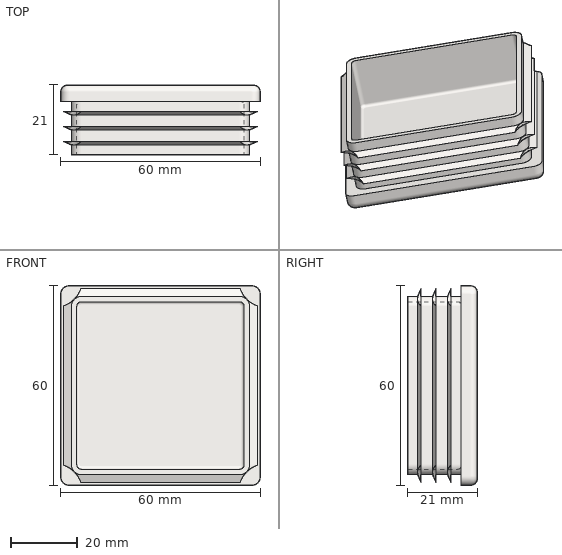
import cadquery as cq
import math

total_depth = 21
back_y = total_depth / 2
open_y = -back_y

cap_size = 60
cap_thickness = 5.0
cap_corner_radius = 2.5
cap_edge_round = 2.05
cap_inner_y = back_y - cap_thickness

body_size = 53.6
body_corner_radius = 3
wall = 1.6
cavity_size = body_size - 2 * wall
cavity_corner_radius = body_corner_radius - wall
cavity_depth = 16.0
floor_round = 0.9

rib_size = 58.2
rib_base = 1.0
rib_count = 3
rib_pitch = 4.5
first_rib_gap = 3
scallop_radius = 8.4
scallop_gap = 0.03


def square_block(size, corner_radius, start_y, depth):
    """Rounded square block from start_y, extending depth toward -Y."""
    block = cq.Workplane("XZ", origin=(0, start_y, 0)).rect(size, size).extrude(depth)
    return block.edges("|Y").fillet(corner_radius)


def make_cap():
    cap = square_block(cap_size, cap_corner_radius, back_y, cap_thickness)
    return cap.faces(">Y").edges().fillet(cap_edge_round)


def make_body():
    return square_block(body_size, body_corner_radius, cap_inner_y, cap_inner_y - open_y)


def make_rib(flat_y):
    """Tapered ring around the body, scalloped at its four corners."""
    rib_height = (rib_size - body_size) / 2
    tip = cq.Sketch().rect(rib_size, rib_size)
    tip = tip.vertices().fillet(body_corner_radius + rib_height)
    base = cq.Sketch().rect(body_size, body_size)
    base = base.vertices().fillet(body_corner_radius)
    flat_plane = cq.Workplane("XZ", origin=(0, flat_y, 0))
    base_offset = cq.Location(cq.Vector(0, 0, rib_base))
    ring = flat_plane.placeSketch(tip, base.moved(base_offset)).loft(ruled=True)

    corner_middle = body_size / 2 - body_corner_radius * (1 - math.sqrt(0.5))
    scallop_centre = corner_middle + scallop_gap + scallop_radius * math.sqrt(0.5)
    scallops = (
        flat_plane.rect(2 * scallop_centre, 2 * scallop_centre, forConstruction=True)
        .vertices()
        .circle(scallop_radius)
        .extrude(rib_base)
    )
    return ring.cut(scallops)


def make_cavity():
    cavity = square_block(cavity_size, cavity_corner_radius, open_y + cavity_depth, cavity_depth)
    return cavity.faces(">Y").edges().fillet(floor_round)


result = make_cap().union(make_body())
for rib_index in range(rib_count):
    result = result.union(make_rib(cap_inner_y - first_rib_gap - rib_index * rib_pitch))
result = result.cut(make_cavity())